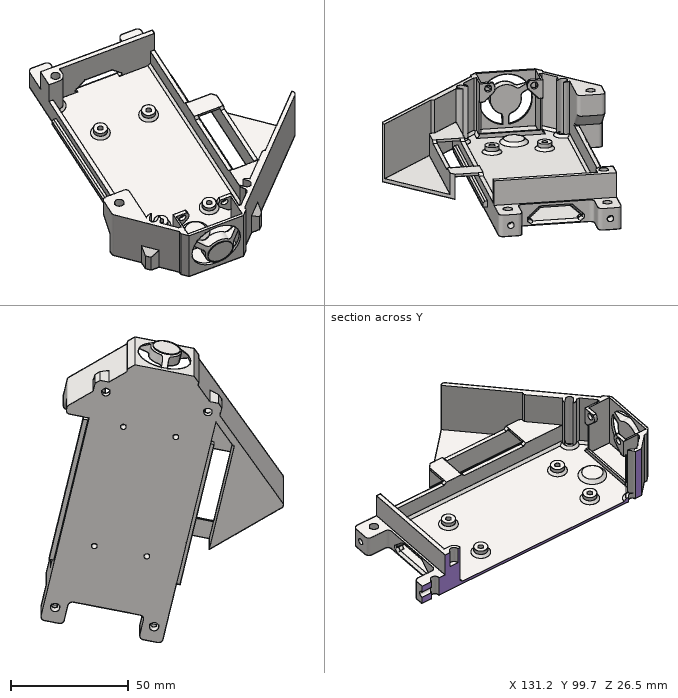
import cadquery as cq
import math

HEAD_TOP = 26.5
END_WALL_TOP = 21.0
RIM_TOP = 10.2
BRIDGE_TOP = 11.4
LUG_TOP = 9.8
FLOOR_TOP = 1.6
WING_FLOOR_TOP = 1.7

TRAY_HALF = 26.5
WALL = 2.0
INNER_HALF = TRAY_HALF - WALL
TRAY_X = 11.2
END_WALL_X = 12.2
INNER_X = 14.3
FLOOR_CHAMFER = 1.2

DIAG = 138.6
DIAG_IN = DIAG - WALL * math.sqrt(2)
DIAG_THICK = 134.2
THICK_X = 98.2
BOX_HALF = 15.5
BOX_X = 127.0
BOX_CORNER = 2.6
POCKET_X0 = 115.0
POCKET_X1 = 125.8
POCKET_HALF = 12.9
POCKET_FLOOR = 1.0
SILL_X = 114.0
BOX_WALL_HALF = 13.6
SILL_TOP = 3.4

WING_Y0 = 36.6
WING_Y1 = WING_Y0 + 1.8
WING_EDGE = 11.3
WING_X = WING_Y0 + WING_EDGE
TIP_RADIUS = 1.6
BRIDGE_1_END = 56.2
BRIDGE_2_X = 90.1

TAB_X = 91.7
TAB_Y = -36.7
TAB_FOOT_X = 98.2
TAB_SLOPE_TOP = 17.0
TAB_RADIUS = 1.7
TAB_HOLE = (97.2, -31.2)

LUG_INNER_Y = 16.4
LUG_RADIUS = 2.0
LUG_HOLE = (7.1, 21.5)
LUG_PIN_HOLE = 2.8
LUG_PIN_Z = 5.0
COLUMN = (111.7, 22.2)
COLUMN_RADIUS = 3.0
COLUMN_HOLE = 3.5
COLUMN_BASE_TOP = 2.8
POST = (17.0, -21.8)
POST_RADIUS = 3.3
PIN_HOLE = 4.0
BLIND_DEPTH = 7.9
STANDOFFS = [(x, y) for x in (39.1, 97.1) for y in (-11.4, 11.4)]
STANDOFF_HOLE = 2.4

FAN_Z = 13.9
FAN_RADIUS = 11.4
HUB_RADIUS = 6.7
FACE_RADIUS = 5.9
FACE_RIM = 0.4
GUARD_X = 131.2
SPOKE_WIDTH = 2.6
SPOKE_FILLET = 1.8


def box(x0, x1, y0, y1, z0, z1):
    return cq.Workplane("XY").box(x1 - x0, y1 - y0, z1 - z0, centered=False).translate((x0, y0, z0))


def prism(points, z0, z1):
    return cq.Workplane("XY").workplane(offset=z0).polyline(points).close().extrude(z1 - z0)


def rod(x, y, diameter, z0, z1):
    return cq.Workplane("XY").workplane(offset=z0).center(x, y).circle(diameter / 2).extrude(z1 - z0)


def cone(x, y, top_radius, z0, height):
    """A 45 degree cone that narrows upwards to top_radius."""
    solid = cq.Solid.makeCone(top_radius + height, top_radius, height, cq.Vector(x, y, z0))
    return cq.Workplane("XY").add(solid)


def tray_outline():
    return [
        (TRAY_X, -TRAY_HALF),
        (DIAG - TRAY_HALF, -TRAY_HALF),
        (DIAG - BOX_HALF, -BOX_HALF),
        (BOX_X - BOX_CORNER, -BOX_HALF),
        (BOX_X, BOX_CORNER - BOX_HALF),
        (BOX_X, BOX_HALF - BOX_CORNER),
        (BOX_X - BOX_CORNER, BOX_HALF),
        (DIAG - BOX_HALF, BOX_HALF),
        (DIAG - TRAY_HALF, TRAY_HALF),
        (TRAY_X, TRAY_HALF),
    ]


def wing_tip(diagonal):
    """Point where a slanted line x + y = diagonal meets the free edge of the wing."""
    return ((diagonal + WING_EDGE) / 2, (diagonal - WING_EDGE) / 2)


def screw_tab():
    """Tab on the -Y side, undercut at 45 degrees, with rounded upright edges."""
    inner_y = -INNER_HALF
    tab = prism(
        [(TAB_X, inner_y), (TAB_X, TAB_Y), (DIAG + TAB_Y, TAB_Y), (DIAG + inner_y, inner_y)], 0, HEAD_TOP
    )
    foot_height = TAB_SLOPE_TOP - (TAB_FOOT_X - TAB_X)
    undercut = (
        cq.Workplane("XZ", origin=(0, inner_y, 0))
        .polyline([(TAB_X, 0), (TAB_FOOT_X, 0), (TAB_FOOT_X, foot_height), (TAB_X, TAB_SLOPE_TOP)])
        .close()
        .extrude(inner_y - TAB_Y)
    )
    tab = tab.cut(undercut)
    joined_edge = cq.selectors.NearestToPointSelector((DIAG + inner_y, inner_y, HEAD_TOP / 2))
    upright = cq.selectors.SubtractSelector(cq.selectors.StringSyntaxSelector("not #Z"), joined_edge)
    return tab.edges(upright).fillet(TAB_RADIUS)


def head():
    """Full-height block: slanted walls and fan box, before hollowing."""
    outline = tray_outline()[1:8] + [
        wing_tip(DIAG),
        wing_tip(DIAG_IN),
        (THICK_X, DIAG_IN - THICK_X),
        (THICK_X, DIAG_THICK - THICK_X),
        (DIAG_THICK - INNER_HALF, INNER_HALF),
        (DIAG_IN - INNER_HALF, -INNER_HALF),
    ]
    body = prism(outline, 0, HEAD_TOP)
    tip = cq.selectors.NearestToPointSelector((*wing_tip(DIAG), HEAD_TOP / 2))
    return body.edges(tip).fillet(TIP_RADIUS).union(screw_tab())


def wing():
    """Shelf, its inner wall and the two bridges that carry it."""
    corner = (WING_X, WING_Y0)
    shelf = prism([corner, wing_tip(DIAG), (DIAG - WING_Y0, WING_Y0)], 0, WING_FLOOR_TOP)
    tip = cq.selectors.NearestToPointSelector((*wing_tip(DIAG), WING_FLOOR_TOP / 2))
    shelf = shelf.edges(tip).fillet(TIP_RADIUS)
    left_end = [corner, (WING_Y1 + WING_EDGE, WING_Y1)]
    wall = prism(left_end + [(DIAG - WING_Y1, WING_Y1), (DIAG - WING_Y0, WING_Y0)], 0, RIM_TOP)
    bridge_1 = prism(
        left_end[::-1] + [(WING_X, INNER_HALF), (BRIDGE_1_END, INNER_HALF), (BRIDGE_1_END, WING_Y1)],
        RIM_TOP, BRIDGE_TOP,
    )
    bridge_2 = prism(
        [(BRIDGE_2_X, INNER_HALF), (DIAG_IN - INNER_HALF, INNER_HALF), (DIAG_IN - WING_Y1, WING_Y1),
         (BRIDGE_2_X, WING_Y1)],
        RIM_TOP, BRIDGE_TOP,
    )
    body = shelf.union(wall).union(bridge_1).union(bridge_2)
    rise = BRIDGE_TOP - RIM_TOP
    ramps = [
        (WING_X, -rise, INNER_HALF, TRAY_HALF),
        (BRIDGE_1_END, rise, INNER_HALF, TRAY_HALF),
        (BRIDGE_2_X, -rise, INNER_HALF, TRAY_HALF),
        (BRIDGE_1_END, rise, WING_Y0, WING_Y1),
        (BRIDGE_2_X, -rise, WING_Y0, WING_Y1),
    ]
    for x, run, y0, y1 in ramps:
        ramp = (
            cq.Workplane("XZ", origin=(0, y1, 0))
            .polyline([(x, RIM_TOP), (x + run, RIM_TOP), (x, BRIDGE_TOP)])
            .close()
            .extrude(y1 - y0)
        )
        body = body.union(ramp)
    return body


def cavity():
    """Hollow of the tray, chamfered where it meets the floor."""
    end_x = 121.0
    meet_x = DIAG_IN - BOX_WALL_HALF
    outline = [
        (INNER_X, -INNER_HALF),
        (DIAG_IN - INNER_HALF, -INNER_HALF),
        (meet_x, -BOX_WALL_HALF),
        (SILL_X, -BOX_WALL_HALF),
        (SILL_X, BOX_WALL_HALF),
        (meet_x, BOX_WALL_HALF),
        (DIAG_IN - INNER_HALF, INNER_HALF),
        (INNER_X, INNER_HALF),
    ]
    hollow = prism(outline, FLOOR_TOP, HEAD_TOP)
    hollow = hollow.faces("<Z").edges("not |Y").chamfer(FLOOR_CHAMFER)
    return hollow.intersect(box(INNER_X, end_x, -INNER_HALF, INNER_HALF, FLOOR_TOP, HEAD_TOP))


def lugs():
    """Two screw lugs beyond the end wall."""
    body = box(0, END_WALL_X, -TRAY_HALF, TRAY_HALF, 0, LUG_TOP)
    body = body.cut(box(0, TRAY_X, -LUG_INNER_Y, LUG_INNER_Y, 0, LUG_TOP))
    rounded = cq.selectors.BoxSelector((-1.3, -TRAY_HALF - 1.3, 0), (TRAY_X + 0.1, TRAY_HALF + 1.3, LUG_TOP))
    return body.edges("|Z").edges(rounded).fillet(LUG_RADIUS)


def rail(side):
    """Guide rail along a long side, with its upper outer edge bevelled."""
    x0, x1, z0, z1, depth, bevel = 27.2, 95.4, 3.5, 6.3, 2.0, 0.8
    y = side * TRAY_HALF
    tip = side * (TRAY_HALF + depth)
    return (
        cq.Workplane("YZ", origin=(x0, 0, 0))
        .polyline([(y, z0), (tip, z0), (tip, z1 - bevel), (tip - side * bevel, z1), (y, z1)])
        .close()
        .extrude(x1 - x0)
    )


def nub(side):
    """Small block outside a slanted wall, level with the screw column, with a sloped top."""
    x0, x1, half, corner, top = 111.0, 116.7, 27.5, 1.8, 11.0
    outline = [
        (x0 - corner, half),
        (x1 - corner, half),
        (x1, half - corner),
        (x1, DIAG_IN - x1),
        (x0, DIAG_IN - x0),
    ]
    block = prism(outline, 0, top)
    run = 5.2
    slope = (
        cq.Workplane("XZ")
        .polyline([(0, top), (run, top), (run, top - run)])
        .close()
        .extrude(2 * TRAY_HALF, both=True)
        .rotate((0, 0, 0), (0, 0, 1), 45)
        .translate((x0, DIAG - x0, 0))
    )
    block = block.cut(slope)
    return block if side > 0 else block.mirror("XZ")


def screw_column(side):
    """Column beside a slanted wall, slotted towards the middle of the tray above a short base."""
    x, y = COLUMN[0], side * COLUMN[1]
    column = rod(x, y, 2 * COLUMN_RADIUS, 0, HEAD_TOP)
    web_length, web_inset = 4.0, 1.8
    web = box(0, web_length, -web_inset, web_inset, 0, HEAD_TOP).translate((x, y, 0))
    column = column.union(web).union(cone(x, y, COLUMN_RADIUS, FLOOR_TOP, FLOOR_CHAMFER))
    half_slot = COLUMN_HOLE / 2
    opening = box(-2 * COLUMN_RADIUS, 0, -half_slot, half_slot, COLUMN_BASE_TOP, HEAD_TOP)
    opening = opening.rotate((0, 0, 0), (0, 0, 1), side * 45).translate((x, y, 0))
    return column.cut(opening)


def corner_post():
    """Solid post filling the corner beside the end wall."""
    x, y = POST
    top = END_WALL_TOP
    post = rod(x, y, 2 * POST_RADIUS, 0, top)
    post = post.union(box(INNER_X, x + POST_RADIUS, -TRAY_HALF, y, 0, top))
    post = post.union(box(INNER_X, x, -TRAY_HALF, y + POST_RADIUS, 0, top))
    foot = cone(x, y, POST_RADIUS, FLOOR_TOP, FLOOR_CHAMFER)
    return post.union(foot).intersect(box(INNER_X, TAB_X, -TRAY_HALF, 0, 0, top))


def end_opening():
    """Opening through the end wall, flared on its outer side."""
    flare = 1.2
    half_top, half_bottom, foot_half = 6.4, 11.2, 9.8
    top, knee, ankle = 7.5, 3.0, 2.6
    points = [
        (-half_top, top), (half_top, top), (half_bottom, knee), (half_bottom, ankle), (foot_half, FLOOR_TOP),
        (-foot_half, FLOOR_TOP), (-half_bottom, ankle), (-half_bottom, knee),
    ]
    plane = cq.Workplane("YZ", origin=(TRAY_X + flare, 0, 0))
    straight = plane.polyline(points).close().extrude(INNER_X - TRAY_X - flare)
    flared = plane.polyline(points).close().extrude(-flare, taper=-45)
    return straight.union(flared)


def standoffs():
    """Four board standoffs and the round button on the floor."""
    diameter, top = 6.0, 4.6
    button_x, button_top_radius, button_height = 107.1, 4.53, 1.6
    body = cone(button_x, 0, button_top_radius, FLOOR_TOP, button_height)
    for x, y in STANDOFFS:
        foot = cone(x, y, diameter / 2, FLOOR_TOP, FLOOR_CHAMFER)
        body = body.union(rod(x, y, diameter, 0, top).union(foot))
    return body


def fan_box():
    """Pocket for the fan, with its sill and the fan hole in the plate."""
    pocket = box(POCKET_X0, POCKET_X1, -POCKET_HALF, POCKET_HALF, POCKET_FLOOR, HEAD_TOP)
    mouth = box(SILL_X, POCKET_X0, -BOX_WALL_HALF, BOX_WALL_HALF, SILL_TOP, HEAD_TOP)
    hole = cq.Workplane("YZ", origin=(POCKET_X1, 0, 0)).center(0, FAN_Z).circle(FAN_RADIUS)
    return pocket.union(mouth).union(hole.extrude(BOX_X - POCKET_X1))


def fan_ears():
    """Screw ears at the mouth of the fan box, sloping back into its side walls."""
    x0 = 113.4
    y, z = 10.0, 24.1
    radius, hole = 3.0, 3.0
    tangent = radius / math.sqrt(2)
    wall_y = BOX_WALL_HALF
    lower_z = 18.1
    ear = (
        cq.Workplane("YZ", origin=(x0, 0, 0))
        .moveTo(wall_y, lower_z)
        .lineTo(y - 2 * tangent + z - lower_z, lower_z)
        .lineTo(y - tangent, z - tangent)
        .threePointArc((y - radius, z), (y - tangent, z + tangent))
        .lineTo(y - tangent, HEAD_TOP)
        .lineTo(wall_y, HEAD_TOP)
        .close()
        .extrude(POCKET_X0 - x0)
    )
    ear = ear.cut(cq.Workplane("YZ", origin=(x0, y, z)).circle(hole / 2).extrude(POCKET_X0 - x0))
    return ear.union(ear.mirror("XZ"))


def fan_guard():
    """Hub in front of the fan hole, held by three filleted spokes and tapered towards its face."""
    length = GUARD_X - POCKET_X1
    overlap = 0.4
    reach = FAN_RADIUS + overlap
    guard = cq.Workplane("YZ").circle(HUB_RADIUS).extrude(length)
    for angle in (0, 120, 240):
        spoke = box(0, length, -SPOKE_WIDTH / 2, SPOKE_WIDTH / 2, -reach, 0)
        guard = guard.union(spoke.rotate((0, 0, 0), (1, 0, 0), angle))
    root = 1.05 * HUB_RADIUS
    roots = cq.selectors.BoxSelector((0, -root, -root), (length, root, root))
    guard = guard.edges("|X").edges(roots).fillet(SPOKE_FILLET)
    plate = BOX_X - POCKET_X1
    envelope = (
        cq.Workplane("XY")
        .polyline([
            (0, 0), (0, reach), (plate, reach), (plate, FAN_RADIUS),
            (length - FACE_RIM, FACE_RADIUS), (length, FACE_RADIUS), (length, 0),
        ])
        .close()
        .revolve(360, (0, 0, 0), (1, 0, 0))
    )
    return guard.intersect(envelope).translate((POCKET_X1, 0, FAN_Z))


part = prism(tray_outline(), 0, RIM_TOP).union(head()).union(wing())
part = part.cut(cavity())
part = part.union(box(END_WALL_X, INNER_X, -TRAY_HALF, TRAY_HALF, 0, END_WALL_TOP))
part = part.cut(box(TRAY_X, END_WALL_X, -TRAY_HALF, TRAY_HALF, 0, RIM_TOP)).union(lugs())
part = part.cut(end_opening())

part = part.union(corner_post()).union(standoffs())
inside = prism(tray_outline(), 0, HEAD_TOP)
for side in (-1, 1):
    part = part.union(rail(side)).union(nub(side))
    part = part.union(screw_column(side).intersect(inside))
part = part.cut(fan_box()).union(fan_ears()).union(fan_guard())

lug_x, lug_y = LUG_HOLE
for side in (-1, 1):
    part = part.cut(rod(lug_x, side * lug_y, PIN_HOLE, 0, LUG_TOP))
    pin = cq.Workplane("YZ", origin=(0, side * lug_y, LUG_PIN_Z)).circle(LUG_PIN_HOLE / 2).extrude(lug_x)
    part = part.cut(pin)
    part = part.cut(rod(COLUMN[0], side * COLUMN[1], COLUMN_HOLE, 0, HEAD_TOP))
for x, y in STANDOFFS:
    part = part.cut(rod(x, y, STANDOFF_HOLE, 0, HEAD_TOP))
part = part.cut(rod(*POST, PIN_HOLE, END_WALL_TOP - BLIND_DEPTH, END_WALL_TOP))
part = part.cut(rod(*TAB_HOLE, PIN_HOLE, HEAD_TOP - BLIND_DEPTH, HEAD_TOP))

result = part